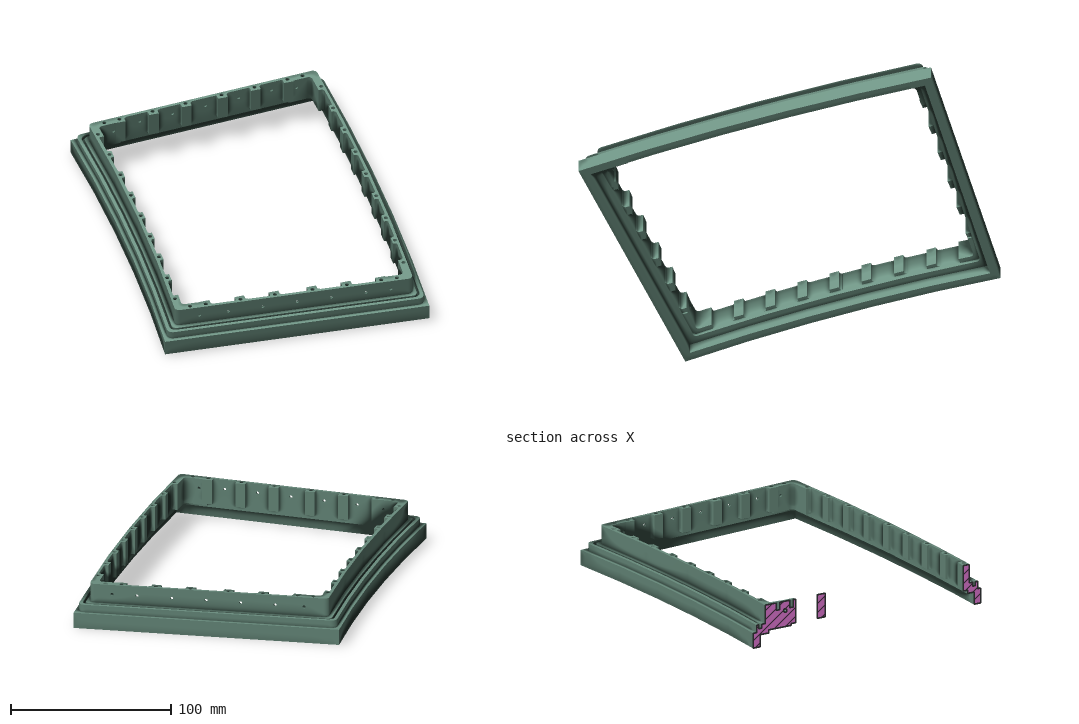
import cadquery as cq
import math

BACK_HALF_WIDTH = 116.5
FRONT_HALF_WIDTH = 104.1
DEPTH = 172.4
BACK_BOW = 4.0
FRONT_BOW = 4.2

BASE_TOP = 10.0
STEP_TOP = 15.0
WALL_TOP = 27.0

STEP_INSET = 2.3
GROOVE_OUTER_INSET = 4.5
GROOVE_INNER_INSET = 6.0
WALL_OUTER_INSET = 8.5
WALL_INNER_INSET = 10.2
PAD_INSET = 13.5

STEP_CORNER_RADIUS = 4.0
WALL_CORNER_RADIUS = 3.0
PAD_CORNER_RADIUS = 2.3
GROOVE_DEPTH = 2.5

RECESS_INSET = 5.4
RECESS_DEPTH = 8.0

BOSS_BOTTOM = 11.2
BOSS_WIDTH = 6.3
BOSS_FLARE = 1.5
BOSS_HOLE_DIAMETER = 2.5
BOSS_HOLE_DEPTH = 5.0
END_BOSS_HOLE_INSET = 10.7
END_BOSS_FACE_INSET = 12.8
SIDE_BOSS_HOLE_INSET = 11.0
SIDE_BOSS_FACE_INSET = 14.0
BACK_BOSS_PITCH = 22.7
FRONT_BOSS_PITCH = 21.2
BOSSES_PER_HALF = 4
SIDE_BOSS_YS = [54.7, 32.8, 11.0, -13.0, -35.0, -57.0]
PAD_HOLE_YS = [64.8, -67.0]

CROSS_HOLE_DIAMETER = 2.0
CROSS_HOLE_Z = 20.7
CROSS_HOLE_YS = [60.0, 44.3, 22.4, 0.5, -21.5, -43.3, -61.7]

BACK_CORNER_Y = DEPTH / 2 - BACK_BOW
FRONT_CORNER_Y = -DEPTH / 2


def bow_height(x, half_width, bow):
    """Height of a bowed side above its end points, at distance x from the middle."""
    radius = (half_width**2 + bow**2) / (2 * bow)
    return math.sqrt(radius**2 - x**2) - (radius - bow)


def back_y(x):
    return BACK_CORNER_Y + bow_height(x, BACK_HALF_WIDTH, BACK_BOW)


def front_y(x):
    return FRONT_CORNER_Y + bow_height(x, FRONT_HALF_WIDTH, FRONT_BOW)


def side_x(y):
    """Half width of the base at the given y."""
    share = (y - FRONT_CORNER_Y) / (BACK_CORNER_Y - FRONT_CORNER_Y)
    return FRONT_HALF_WIDTH + share * (BACK_HALF_WIDTH - FRONT_HALF_WIDTH)


def frame_block(inset, bottom, top, corner_radius=0.0):
    """Solid block with the base outline moved inward, from height bottom to height top."""
    outline = (
        cq.Workplane("XY", origin=(0, 0, bottom))
        .moveTo(-FRONT_HALF_WIDTH, FRONT_CORNER_Y)
        .threePointArc((0, FRONT_CORNER_Y + FRONT_BOW), (FRONT_HALF_WIDTH, FRONT_CORNER_Y))
        .lineTo(BACK_HALF_WIDTH, BACK_CORNER_Y)
        .threePointArc((0, DEPTH / 2), (-BACK_HALF_WIDTH, BACK_CORNER_Y))
        .close()
    )
    if inset:
        outline = outline.offset2D(-inset)
    block = outline.extrude(top - bottom)
    if corner_radius:
        block = block.edges("|Z").fillet(corner_radius)
    return block


def boss(reach, tail):
    """Boss that points to +Y: its face is at y = reach, its flared root at y = 0."""
    half = BOSS_WIDTH / 2
    arc_offset = BOSS_FLARE * (1 - math.sqrt(0.5))
    root = half + BOSS_FLARE
    return (
        cq.Workplane("XY", origin=(0, 0, BOSS_BOTTOM))
        .moveTo(-root, -tail)
        .lineTo(-root, 0)
        .threePointArc((-half - arc_offset, arc_offset), (-half, BOSS_FLARE))
        .lineTo(-half, reach)
        .lineTo(half, reach)
        .lineTo(half, BOSS_FLARE)
        .threePointArc((half + arc_offset, arc_offset), (root, 0))
        .lineTo(root, -tail)
        .close()
        .extrude(WALL_TOP - BOSS_BOTTOM)
    )


def boss_places():
    """Yield x, y on the base outline and the inward direction in degrees of each boss."""
    for index in range(-BOSSES_PER_HALF, BOSSES_PER_HALF + 1):
        back_x = index * BACK_BOSS_PITCH
        front_x = index * FRONT_BOSS_PITCH
        yield back_x, back_y(back_x), 180
        yield front_x, front_y(front_x), 0
    for y in SIDE_BOSS_YS:
        yield -side_x(y), y, -90
        yield side_x(y), y, 90


def is_side(direction):
    return abs(direction) == 90


def all_bosses():
    bosses = cq.Workplane("XY")
    for x, y, direction in boss_places():
        face_inset = SIDE_BOSS_FACE_INSET if is_side(direction) else END_BOSS_FACE_INSET
        placed = (
            boss(face_inset - WALL_INNER_INSET, WALL_TAIL)
            .translate((0, WALL_INNER_INSET, 0))
            .rotate((0, 0, 0), (0, 0, 1), direction)
            .translate((x, y, 0))
        )
        bosses = bosses.add(placed)
    return bosses.combine()


WALL_TAIL = (WALL_INNER_INSET - WALL_OUTER_INSET) / 2


def corner_pads():
    """Thicker stretches of wall in the four corners, ending at the bosses next to them."""
    ring = frame_block(WALL_TAIL + WALL_OUTER_INSET, BASE_TOP, WALL_TOP, WALL_CORNER_RADIUS)
    ring = ring.cut(frame_block(PAD_INSET, BASE_TOP, WALL_TOP, PAD_CORNER_RADIUS))
    back_gap = 2 * BOSSES_PER_HALF * BACK_BOSS_PITCH - BOSS_WIDTH
    front_gap = 2 * BOSSES_PER_HALF * FRONT_BOSS_PITCH - BOSS_WIDTH
    middle_y = (SIDE_BOSS_YS[0] + SIDE_BOSS_YS[-1]) / 2
    side_gap = SIDE_BOSS_YS[0] - SIDE_BOSS_YS[-1]
    plane = cq.Workplane("XY")
    for gap, y in ((back_gap, DEPTH / 2), (front_gap, -DEPTH / 2)):
        ring = ring.cut(plane.box(gap, DEPTH, 3 * WALL_TOP).translate((0, y, 0)))
    return ring.cut(plane.box(3 * BACK_HALF_WIDTH, side_gap, 3 * WALL_TOP).translate((0, middle_y, 0)))


def boss_holes():
    points = []
    for x, y, direction in boss_places():
        inset = SIDE_BOSS_HOLE_INSET if is_side(direction) else END_BOSS_HOLE_INSET
        angle = math.radians(direction + 90)
        points.append((x + inset * math.cos(angle), y + inset * math.sin(angle)))
    for y in PAD_HOLE_YS:
        x = side_x(y) - SIDE_BOSS_HOLE_INSET
        points += [(-x, y), (x, y)]
    return (
        cq.Workplane("XY", origin=(0, 0, WALL_TOP))
        .pushPoints(points)
        .circle(BOSS_HOLE_DIAMETER / 2)
        .extrude(-BOSS_HOLE_DEPTH)
    )


def cross_holes():
    return (
        cq.Workplane("YZ")
        .pushPoints([(y, CROSS_HOLE_Z) for y in CROSS_HOLE_YS])
        .circle(CROSS_HOLE_DIAMETER / 2)
        .extrude(BACK_HALF_WIDTH, both=True)
    )


tiers = (
    frame_block(0, 0, BASE_TOP)
    .union(frame_block(STEP_INSET, 0, STEP_TOP, STEP_CORNER_RADIUS))
    .union(frame_block(WALL_OUTER_INSET, 0, WALL_TOP, WALL_CORNER_RADIUS))
)
opening = frame_block(WALL_INNER_INSET, 0, WALL_TOP, PAD_CORNER_RADIUS)
recess = frame_block(RECESS_INSET, 0, RECESS_DEPTH)
frame = tiers.cut(opening).cut(recess)

groove_floor = STEP_TOP - GROOVE_DEPTH
groove = frame_block(GROOVE_OUTER_INSET, groove_floor, STEP_TOP, STEP_CORNER_RADIUS)
groove = groove.cut(frame_block(GROOVE_INNER_INSET, groove_floor, STEP_TOP, WALL_CORNER_RADIUS))
frame = frame.cut(groove)

frame = frame.union(corner_pads()).union(all_bosses())
result = frame.cut(boss_holes()).cut(cross_holes())